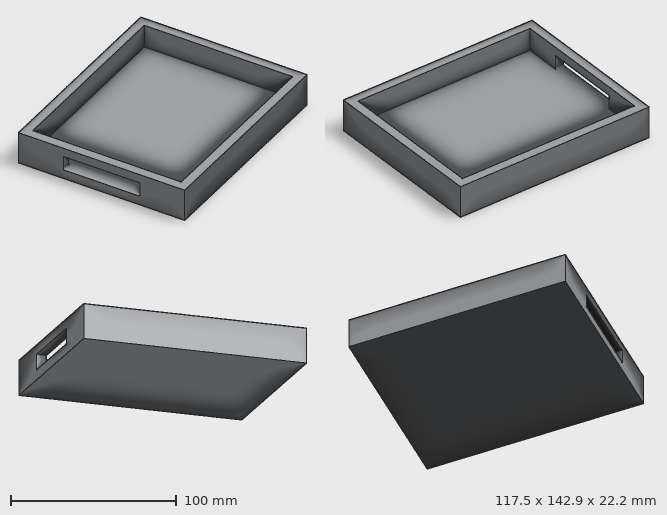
import cadquery as cq

width = 117.475
length = 142.875
height = 22.225

wall = 6.35
floor = 6.35

handle_width = 54.0
handle_height = 9.85
handle_corner_radius = 0.5


def tray_body():
    """Open-topped rectangular tray, centred on the Z axis and resting on Z = 0."""
    block = cq.Workplane("XY").box(width, length, height, centered=(True, True, False))
    cavity = (
        cq.Workplane("XY")
        .workplane(offset=floor)
        .box(width - 2 * wall, length - 2 * wall, height - floor, centered=(True, True, False))
    )
    return block.cut(cavity)


def handle_opening():
    """Round-cornered opening through the -Y wall, level with the tray floor."""
    return (
        cq.Workplane("XY")
        .box(handle_width, wall, handle_height, centered=(True, False, False))
        .edges("|Y")
        .fillet(handle_corner_radius)
        .translate((0, -length / 2, floor))
    )


result = tray_body().cut(handle_opening())